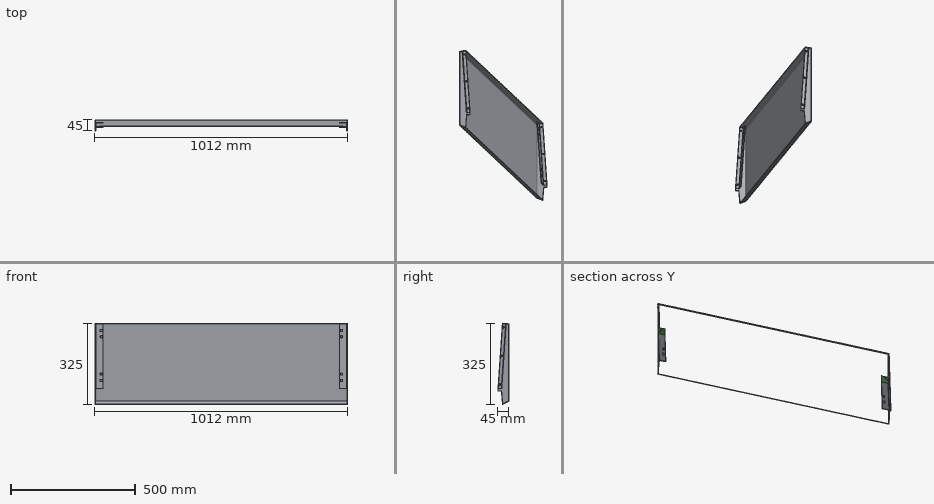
import cadquery as cq
import math

length = 1012.0
height = 325.0
depth = 45.0
tray_sheet = 1.2
bend_radius = 2.5

flange_depth = 26.0
ear_bottom = 54.0
ear_step_depth = 30.0
lip_back = 13.0
lip_depth = 25.0

bracket_sheet = 2.0
bracket_width = 30.0
web_depth = 15.0
bracket_bottom = 63.0
web_corner_radius = 3.0

hole_inset = 24.0
hole_center = 196.0
square_side = 9.0
square_pitch = 200.0
round_diameter = 9.0
round_pitch = 150.0
rivet_center = 194.0
rivet_setback = 6.0
rivet_diameter = 5.0
rivet_pitch = 114.0

lean = (depth - flange_depth) / (height - ear_bottom)
lean_length = math.hypot(1, lean)
lip_slope = lip_back / lip_depth
lip_length = math.hypot(1, lip_slope)
web_run = web_depth * lean_length


def front_edge(z):
    """Y of the leaning front edge of the side walls at height z."""
    return -flange_depth - lean * (height - z)


def flange_top(y):
    """Z of the flange's upper surface, which is square to the leaning edge."""
    return height - lean * (flange_depth + y)


def flange_under(y):
    """Z of the flange's lower surface."""
    return flange_top(y) - tray_sheet * lean_length


def lip_top(y):
    """Z of the lip's upper surface."""
    return lip_back + lip_slope * y + tray_sheet * lip_length


def extrude_x(points, start, width):
    """Extrude a (y, z) outline along +X from x = start."""
    return cq.Workplane("YZ").workplane(offset=start).polyline(points).close().extrude(width)


def rivet_holes():
    """Cutters along X, just behind the leaning edge, through both ends of the tray."""
    cutters = cq.Workplane("YZ").workplane(offset=-length / 2)
    heights = [rivet_center + step * rivet_pitch for step in (-1, 0, 1)]
    centers = [(front_edge(z) + rivet_setback, z) for z in heights]
    return cutters.pushPoints(centers).circle(rivet_diameter / 2).extrude(length)


def make_tray():
    lip_end_y = -lip_depth - tray_sheet * lip_slope / lip_length
    outline = [
        (0, lip_back),
        (-lip_depth, 0),
        (lip_end_y, lip_top(lip_end_y)),
        (-ear_step_depth, ear_bottom),
        (-depth, ear_bottom),
        (-flange_depth, height),
        (0, flange_top(0)),
    ]
    front_clear = -2 * depth
    cavity = [
        (-tray_sheet, lip_top(-tray_sheet)),
        (front_clear, lip_top(front_clear)),
        (front_clear, flange_under(front_clear)),
        (-tray_sheet, flange_under(-tray_sheet)),
    ]
    inside = length - 2 * tray_sheet
    blank = extrude_x(outline, -length / 2, length)
    hollow = extrude_x(cavity, -inside / 2, inside)
    blank = blank.faces(">Y").edges("not <Z").fillet(bend_radius)
    hollow = hollow.faces(">Y").edges("not <Z").fillet(bend_radius - tray_sheet)
    return blank.cut(hollow).cut(rivet_holes())


def face_holes():
    """Square and round cutters along Y through the face of the left bracket."""
    x = -length / 2 + hole_inset
    plane = cq.Workplane("XZ")
    squares = [(x, hole_center + side * square_pitch / 2) for side in (-1, 1)]
    rounds = [(x, hole_center + side * round_pitch / 2) for side in (-1, 1)]
    cutters = plane.pushPoints(squares).rect(square_side, square_side).extrude(depth)
    return cutters.union(plane.pushPoints(rounds).circle(round_diameter / 2).extrude(depth))


def strip(back_offset, front_offset):
    """Leaning (y, z) strip under the flange, given by distances behind the front edge."""
    top_back = front_edge(height) + back_offset
    top_front = front_edge(height) + front_offset
    return [
        (front_edge(bracket_bottom) + back_offset, bracket_bottom),
        (front_edge(bracket_bottom) + front_offset, bracket_bottom),
        (top_front, flange_under(top_front)),
        (top_back, flange_under(top_back)),
    ]


def make_left_bracket():
    start = -length / 2 + tray_sheet
    web = extrude_x(strip(web_run, 0), start, bracket_sheet)
    web = web.edges("|X and <Y").fillet(web_corner_radius)
    face_front = web_run - bracket_sheet * lean_length
    face = extrude_x(strip(web_run, face_front), start, bracket_width)
    return web.union(face).cut(face_holes()).cut(rivet_holes())


tray = make_tray()
left_bracket = make_left_bracket()
right_bracket = left_bracket.mirror("YZ")

result = cq.Compound.makeCompound([tray.val(), left_bracket.val(), right_bracket.val()])